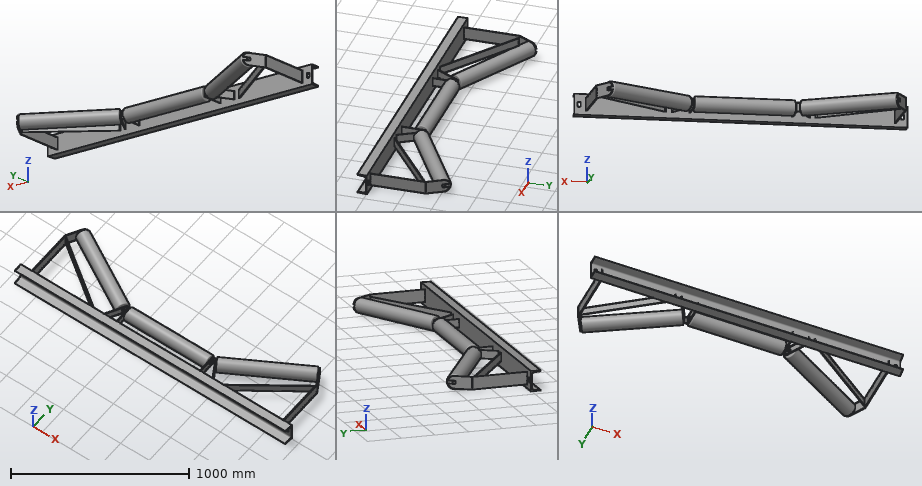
import cadquery as cq
import math


BEAM_LENGTH = 1900.0
BEAM_HEIGHT = 120.0
FLANGE_WIDTH = 57.0
WEB_THICKNESS = 7.0
FLANGE_THICKNESS = 9.0
FLANGE_TAPER = 0.08
ROOT_RADIUS = 9.0
TOE_RADIUS = 4.5
END_SETBACK = 5.0

SLOT_WIDTH = 18.0
SLOT_HEIGHT = 30.0
SLOT_SPACING = 1843.0

ROLLER_RADIUS = 44.6
ROLLER_LENGTH = 570.0
ROLLER_EDGE_RADIUS = 4.8
SHAFT_RADIUS = 10.0
CENTER_GAP = 4.0
SIDE_GAP = 4.8
TROUGH_ANGLE = 30.0
CENTER_AXIS_Y = 115.0
SIDE_INNER_X = 329.0
SIDE_INNER_Y = 125.0

PLATE = 6.0
OUTER_BAR_WIDTH = 75.0
OUTER_POST_X = 884.0
SADDLE_TOP_Y = 142.0
INNER_BAR_WIDTH = 50.0
BRACE_FOOT_X = 430.0

TOLERANCE = 0.2

SIN = math.sin(math.radians(TROUGH_ANGLE))
COS = math.cos(math.radians(TROUGH_ANGLE))


def side_point(along, above):
    """Point on the +X side, `along` the side roller axis from its inner end and `above` that axis."""
    return (
        SIDE_INNER_X + along * COS - above * SIN,
        SIDE_INNER_Y + along * SIN + above * COS,
    )


def above_at_y(along, y):
    """How far above the roller axis the line across it at `along` reaches the height `y`."""
    return (y - SIDE_INNER_Y - along * SIN) / COS


def above_at_x(along, x):
    """How far above the roller axis the line across it at `along` reaches the position `x`."""
    return (SIDE_INNER_X + along * COS - x) / SIN


def bar_from_outline(points, width):
    """Prism of the given XY outline, centered on Z = 0."""
    return cq.Workplane("XY", origin=(0, 0, -width / 2)).polyline(points).close().extrude(width)


def on_side(body, side):
    """The +X body itself, or its mirror image for side -1."""
    return body if side > 0 else body.mirror("YZ")


def make_beam():
    half_height = BEAM_HEIGHT / 2
    toe_thickness = FLANGE_THICKNESS - FLANGE_TAPER * FLANGE_WIDTH / 2
    root_thickness = toe_thickness + FLANGE_TAPER * (FLANGE_WIDTH - WEB_THICKNESS)
    upper_half = [
        (0, half_height),
        (-FLANGE_WIDTH, half_height),
        (-FLANGE_WIDTH, half_height - toe_thickness),
        (-WEB_THICKNESS, half_height - root_thickness),
    ]
    lower_half = [(y, -z) for y, z in reversed(upper_half)]
    beam = (
        cq.Workplane("YZ", origin=(-BEAM_LENGTH / 2, 0, 0))
        .polyline(upper_half + lower_half)
        .close()
        .extrude(BEAM_LENGTH)
    )
    inner_lines = cq.selectors.BoxSelector(
        (-BEAM_LENGTH, -2 * FLANGE_WIDTH, toe_thickness - half_height - TOLERANCE),
        (BEAM_LENGTH, -TOLERANCE, half_height - toe_thickness + TOLERANCE),
    )
    beam = beam.edges("|X").edges(inner_lines).edges(">Y").fillet(ROOT_RADIUS)
    beam = beam.edges("|X").edges(inner_lines).edges("<Y").fillet(TOE_RADIUS)

    skew_cut = bar_from_outline(
        [
            (BEAM_LENGTH / 2, 0),
            (BEAM_LENGTH / 2, -FLANGE_WIDTH),
            (BEAM_LENGTH / 2 - END_SETBACK, -FLANGE_WIDTH),
        ],
        BEAM_HEIGHT,
    )
    slots = (
        cq.Workplane("XZ")
        .rarray(SLOT_SPACING, 19, 2, 1)
        .slot2D(SLOT_HEIGHT, SLOT_WIDTH, 90)
        .extrude(WEB_THICKNESS)
    )
    return beam.cut(skew_cut).cut(slots)


def make_roller(center, angle, end_gap):
    """Roller turned by `angle` from X towards Y, with its shaft reaching through both brackets."""
    axis = cq.Vector(math.cos(math.radians(angle)), math.sin(math.radians(angle)), 0)

    def cylinder(radius, length):
        start = cq.Vector(*center) - axis * (length / 2)
        return cq.Workplane(cq.Plane(origin=start, normal=axis)).circle(radius).extrude(length)

    shell = cylinder(ROLLER_RADIUS, ROLLER_LENGTH).edges().fillet(ROLLER_EDGE_RADIUS)
    return shell.union(cylinder(SHAFT_RADIUS, ROLLER_LENGTH + 2 * (end_gap + PLATE)))


def make_outer_bracket():
    """Post bent inwards at the top, with a round tip and an open slot for the shaft."""
    near = ROLLER_LENGTH + SIDE_GAP
    far = near + PLATE
    inner_x = OUTER_POST_X - PLATE
    tip = OUTER_BAR_WIDTH / 2
    bracket = bar_from_outline(
        [
            (inner_x, 0),
            (OUTER_POST_X, 0),
            side_point(far, above_at_x(far, OUTER_POST_X)),
            side_point(far, tip),
            side_point(near, tip),
            side_point(near, above_at_x(near, inner_x)),
        ],
        OUTER_BAR_WIDTH,
    )
    seat = cq.Plane(origin=(*side_point(near, 0), 0), xDir=(-SIN, COS, 0), normal=(COS, SIN, 0))
    square_tip = cq.Workplane(seat).center(tip / 2, 0).rect(tip, OUTER_BAR_WIDTH).extrude(PLATE)
    round_tip = cq.Workplane(seat).circle(tip).extrude(PLATE)
    slot = cq.Workplane(seat).center(tip / 2, 0).rect(tip, 2 * SHAFT_RADIUS).extrude(PLATE)
    slot_end = cq.Workplane(seat).circle(SHAFT_RADIUS).extrude(PLATE)
    return bracket.cut(square_tip.cut(round_tip)).cut(slot).cut(slot_end)


def make_inner_bracket(shafts):
    """Saddle of a vertical leg and a leaning leg, holding one end of two rollers."""
    near = -SIDE_GAP
    far = near - PLATE
    leg_near_x = ROLLER_LENGTH / 2 + CENTER_GAP
    leg_far_x = leg_near_x + PLATE
    under_y = SADDLE_TOP_Y - PLATE
    bracket = bar_from_outline(
        [
            (leg_near_x, 0),
            (leg_near_x, SADDLE_TOP_Y),
            side_point(near, above_at_y(near, SADDLE_TOP_Y)),
            side_point(near, above_at_y(near, 0)),
            side_point(far, above_at_y(far, 0)),
            side_point(far, above_at_y(far, under_y)),
            (leg_far_x, under_y),
            (leg_far_x, 0),
        ],
        INNER_BAR_WIDTH,
    )
    for shaft in shafts:
        bracket = bracket.cut(shaft)
    return bracket


def make_brace(bracket):
    """Flat bar from the beam up to the inner corner of the outer bracket's bend."""
    bend_x = OUTER_POST_X - PLATE
    along = ROLLER_LENGTH + SIDE_GAP
    bend_y = side_point(along, above_at_x(along, bend_x))[1]
    slope = math.atan2(bend_y, bend_x - BRACE_FOOT_X)
    foot_half = PLATE / 2 / math.sin(slope)
    head_dx = PLATE / 2 * math.sin(slope)
    head_dy = PLATE / 2 * math.cos(slope)
    bar = bar_from_outline(
        [
            (BRACE_FOOT_X - foot_half, 0),
            (bend_x - head_dx, bend_y + head_dy),
            (bend_x + head_dx, bend_y - head_dy),
            (BRACE_FOOT_X + foot_half, 0),
        ],
        INNER_BAR_WIDTH,
    )
    return bar.cut(bracket)


beam = make_beam()
center_roller = make_roller((0, CENTER_AXIS_Y), 0, CENTER_GAP)
side_roller = make_roller(side_point(ROLLER_LENGTH / 2, 0), TROUGH_ANGLE, SIDE_GAP)
outer_bracket = make_outer_bracket()
inner_bracket = make_inner_bracket([center_roller, side_roller])
brace = make_brace(outer_bracket)

bodies = [beam.solids().val(), center_roller.solids().val()]
for side in (1, -1):
    for body in (side_roller, outer_bracket, inner_bracket, brace):
        bodies.append(on_side(body, side).solids().val())

result = cq.Compound.makeCompound(bodies)